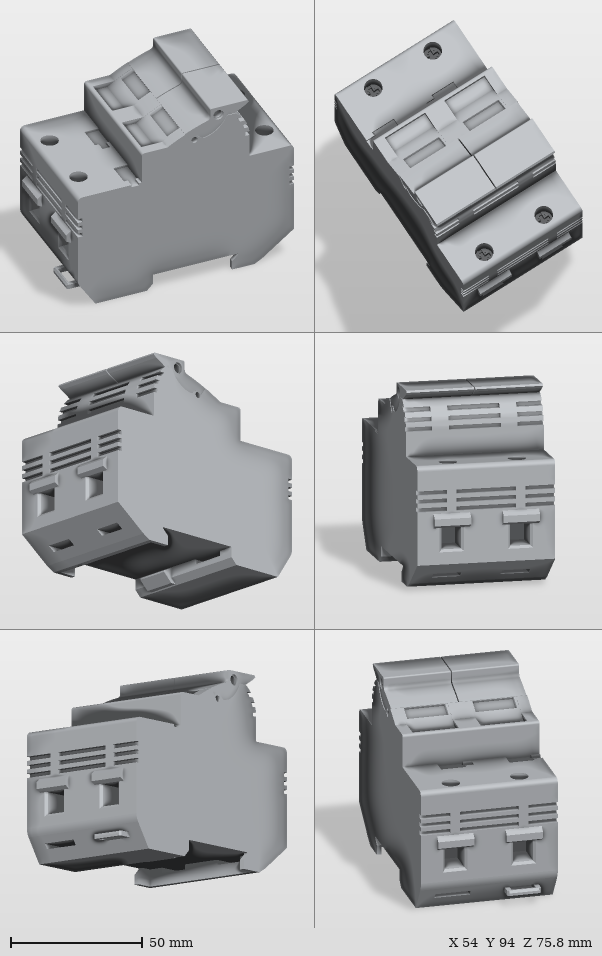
import cadquery as cq
import math

width = 54.0
height = 75.8
clip_reach = 47.0
housing_reach = 45.0
shoulder_z = 50.2
shoulder_radius = 2.0

pole_x = width / 4
pole_centres = [-pole_x, pole_x]

turret_front_y = -18.3
turret_back_y = 26.5
turret_z = 63.4
turret_edge_radius = 1.0
back_arc_radius = 13.2
back_arc_y = turret_back_y - back_arc_radius
back_arc_z = 60.2
slope_radius = 81.5
slope_y = 33.2
slope_z = -7.05

channel_z = 6.7
channel_front_wall_y = -13.7
front_foot_inner_y = -16.3
slot_bottom_z = 4.7
chamfer_top_front_z = 11.0
chamfer_top_back_z = 11.7
front_foot_y = -37.7
front_foot_radius = 5.6
hook_throat_y = 21.7
hook_throat_z = 6.2
hook_lip_y = 19.3
hook_lip_z = 3.8
back_foot_y = 28.7
back_bend_y, back_bend_z = 32.0, 1.9

grip_front_y = 10.3
grip_under_z = 71.25
grip_lip_y, grip_lip_z = 25.0, 73.9
grip_tip_y, grip_tip_z = 26.4, 75.0
grip_top_y = 25.85
grip_root_radius = 1.8
grip_edge_radius = 0.6
handle_end_y = -0.3
clearance = 0.9
handle_gap = 0.5
handle_inset = 0.3
sector_start = (17.1, grip_under_z)
sector_middle = (13.1, 66.0)
sector_end = (7.1, 63.5)
sector_notch = (4.5, 65.4)
pivot_y, pivot_z, pivot_diameter = 3.7, 63.6, 2.4
eye_y, eye_z = 13.7, 72.3
eye_diameter = 3.4
eye_rim_diameter = 4.2
eye_rim_depth = 0.9


def slope_height(y):
    """Height of the sloping front arc at a given Y."""
    return slope_z + math.sqrt(slope_radius**2 - (y - slope_y) ** 2)


def slope_reach(z):
    """Y at which the sloping front arc comes down to a given height."""
    return slope_y - math.sqrt(slope_radius**2 - (z - slope_z) ** 2)


def back_arc_point(angle):
    """Point (Y, Z) on the rounded upper back, angle in degrees above +Y."""
    a = math.radians(angle)
    return (back_arc_y + back_arc_radius * math.cos(a), back_arc_z + back_arc_radius * math.sin(a))


def slab(x_min, x_max):
    """YZ workplane placed so that extruding by x_max - x_min fills that X range."""
    return cq.Workplane("YZ", origin=(x_min, 0, 0)), x_max - x_min


def prism(points, x_min, x_max):
    """Closed YZ polygon extruded from x_min to x_max."""
    plane, length = slab(x_min, x_max)
    return plane.polyline(points).close().extrude(length)


def block(x_min, x_max, y_min, y_max, z_min, z_max):
    size = (x_max - x_min, y_max - y_min, z_max - z_min)
    return cq.Workplane("XY").box(*size, centered=False).translate((x_min, y_min, z_min))


def cross_hole(y, z, diameter, x_min, x_max):
    """Round cutter along X."""
    plane, length = slab(x_min, x_max)
    return plane.center(y, z).circle(diameter / 2).extrude(length)


def both_ends(front_shape):
    """The shape at the front end together with its mirror image at the back."""
    return front_shape.union(front_shape.mirror("XZ"))


def round_edge(body, y, z, radius):
    """Round the full-width edge that runs along X at (y, z)."""
    return body.edges(cq.selectors.NearestToPointSelector((0, y, z))).fillet(radius)


def housing():
    arc_end_angle = math.degrees(math.asin((grip_under_z - back_arc_z) / back_arc_radius))
    slope_foot_y = slope_reach(turret_z)
    slope_mid_y = (grip_front_y + slope_foot_y) / 2

    plane, length = slab(-width / 2, width / 2)
    body = (
        plane.moveTo(-housing_reach, shoulder_z)
        .lineTo(-housing_reach, chamfer_top_front_z)
        .lineTo(front_foot_y, 0)
        .lineTo(front_foot_inner_y, 0)
        .lineTo(channel_front_wall_y, channel_front_wall_y - front_foot_inner_y)
        .lineTo(channel_front_wall_y, channel_z)
        .lineTo(hook_throat_y, channel_z)
        .lineTo(hook_throat_y, hook_throat_z)
        .lineTo(hook_lip_y, hook_lip_z)
        .lineTo(hook_lip_y, 0)
        .lineTo(back_foot_y, 0)
        .lineTo(back_bend_y, back_bend_z)
        .lineTo(housing_reach, chamfer_top_back_z)
        .lineTo(housing_reach, shoulder_z)
        .lineTo(turret_back_y, shoulder_z)
        .lineTo(turret_back_y, back_arc_z)
        .threePointArc(back_arc_point(arc_end_angle / 2), back_arc_point(arc_end_angle))
        .lineTo(grip_lip_y, grip_lip_z)
        .lineTo(grip_tip_y, grip_tip_z)
        .lineTo(grip_top_y, height)
        .lineTo(grip_front_y, height)
        .lineTo(grip_front_y, slope_height(grip_front_y))
        .threePointArc((slope_mid_y, slope_height(slope_mid_y)), (slope_foot_y, turret_z))
        .lineTo(turret_front_y, turret_z)
        .lineTo(turret_front_y, shoulder_z)
        .close()
        .extrude(length)
    )
    for y in (-housing_reach, housing_reach):
        body = round_edge(body, y, shoulder_z, shoulder_radius)
    body = round_edge(body, -housing_reach, chamfer_top_front_z, front_foot_radius)
    body = round_edge(body, turret_front_y, turret_z, turret_edge_radius)
    body = round_edge(body, grip_front_y, slope_height(grip_front_y), grip_root_radius)
    return round_edge(body, grip_front_y, height, grip_edge_radius)


def handle_parting(x_min, x_max):
    above = height + clearance
    outer_y = turret_back_y + clearance
    plane, length = slab(x_min, x_max)
    return (
        plane.moveTo(outer_y, grip_under_z)
        .lineTo(*sector_start)
        .threePointArc(sector_middle, sector_end)
        .lineTo(*sector_notch)
        .lineTo(pivot_y, pivot_z)
        .lineTo(pivot_y - pivot_diameter / 2, pivot_z)
        .lineTo(handle_end_y, slope_height(handle_end_y))
        .lineTo(handle_end_y, above)
        .lineTo(outer_y, above)
        .close()
        .extrude(length)
    )


def handle_cuts():
    side = width / 2
    cuts = handle_parting(-side, -side + handle_inset)
    cuts = cuts.union(handle_parting(side - handle_inset, side))
    cuts = cuts.union(handle_parting(-handle_gap / 2, handle_gap / 2))
    cuts = cuts.union(cross_hole(pivot_y, pivot_z, pivot_diameter, -side, side))
    cuts = cuts.union(cross_hole(eye_y, eye_z, eye_diameter, -side, side))
    rim_depth = handle_inset + eye_rim_depth
    cuts = cuts.union(cross_hole(eye_y, eye_z, eye_rim_diameter, -side, -side + rim_depth))
    return cuts.union(cross_hole(eye_y, eye_z, eye_rim_diameter, side - rim_depth, side))


groove_rows = 3

vent_top_z = 40.6
vent_pitch = 3.3
vent_height = vent_pitch / 2
vent_rib_width = 3.8
vent_depth = 1.9

grip_groove_top_z = 68.6
grip_groove_pitch = 3.6
grip_groove_height = 1.7
grip_groove_rib_width = 6.6
grip_groove_depth = 1.7


def groove_slabs(rib_width, first_z, pitch, groove_height, y_min, y_max):
    """Full-width groove rows, counted downwards from first_z, with gaps at the pole ribs."""
    side = width / 2
    rows = cq.Workplane("XY")
    for row in range(groove_rows):
        top = first_z - row * pitch
        rows = rows.union(block(-side, side, y_min, y_max, top - groove_height, top))
    for x in pole_centres:
        rib_bottom = first_z - groove_rows * pitch
        rows = rows.cut(block(x - rib_width / 2, x + rib_width / 2, y_min, y_max, rib_bottom, first_z))
    return rows


def vents():
    front = groove_slabs(
        vent_rib_width,
        vent_top_z,
        vent_pitch,
        vent_height,
        -housing_reach,
        -housing_reach + vent_depth,
    )
    return both_ends(front)


def turret_grooves():
    """Grooves in the rounded back, with a floor that follows the arc."""
    rows = groove_slabs(
        grip_groove_rib_width,
        grip_groove_top_z,
        grip_groove_pitch,
        grip_groove_height,
        back_arc_y,
        turret_back_y,
    )
    core_diameter = 2 * (back_arc_radius - grip_groove_depth)
    return rows.cut(cross_hole(back_arc_y, back_arc_z, core_diameter, -width / 2, width / 2))


panel_width = 18.2
slope_sink = 0.1
panel_sink = 0.2
panel_slope_end_y = -10.7
panel_front_y = -16.6
window_width = 16.45
window_floor_width = 15.5
window_setback = 0.2
window_top_y = handle_end_y - window_setback
window_bottom_y = -5.5
window_depth = 1.2


def below_slope(x_min, x_max, end_y, front_y, sink):
    """Everything above the slope once it is lowered by sink, then level from end_y to front_y."""
    middle_y = (handle_end_y + end_y) / 2
    plane, length = slab(x_min, x_max)
    return (
        plane.moveTo(handle_end_y, slope_height(handle_end_y) - sink)
        .threePointArc((middle_y, slope_height(middle_y) - sink), (end_y, slope_height(end_y) - sink))
        .lineTo(front_y, slope_height(end_y) - sink)
        .lineTo(front_y, height)
        .lineTo(handle_end_y, height)
        .close()
        .extrude(length)
    )


def lowered_slope():
    """Small step down across the whole width where the handles end."""
    foot_y = slope_reach(turret_z + slope_sink)
    return below_slope(-width / 2, width / 2, foot_y, turret_front_y, slope_sink)


def front_panel(x):
    half_width = panel_width / 2
    panel = below_slope(x - half_width, x + half_width, panel_slope_end_y, panel_front_y, panel_sink)

    middle_y = (window_top_y + window_bottom_y) / 2
    middle_z = slope_height(middle_y)
    tilt = math.atan2(slope_y - middle_y, middle_z - slope_z)
    window_length = (window_top_y - window_bottom_y) / math.cos(tilt)
    face = cq.Plane(
        origin=(x, middle_y, middle_z), xDir=(1, 0, 0), normal=(0, -math.sin(tilt), math.cos(tilt))
    )
    window = (
        cq.Workplane(face)
        .rect(window_width, window_length)
        .workplane(offset=-window_depth)
        .rect(window_floor_width, window_length)
        .loft()
    )
    return panel.union(window)


recess_offset = 0.1
recess_length = 9.3
recess_front_y = -24.25
recess_depth = 0.9
channel_back_y = -19.55
channel_front_y = -22.7
notch_width = 0.6
notch_depth = 1.4


def indicator(x):
    recess_start = x + recess_offset
    recess_end = recess_start + recess_length
    notch_end = recess_end + notch_width
    top = shoulder_z
    floor = top - recess_depth
    notch_floor = top - notch_depth
    recess = block(recess_start, recess_end, recess_front_y, turret_front_y, floor, top)
    channel = block(recess_end, x + pole_x, channel_front_y, channel_back_y, floor, top)
    front_notch = block(recess_end, notch_end, recess_front_y, channel_front_y, notch_floor, top)
    back_notch = block(recess_end, notch_end, channel_back_y, turret_front_y, notch_floor, top)
    return recess.union(channel).union(front_notch).union(back_notch)


well_y = -38.7
well_diameter = 7.05
well_depth = 7.5
screw_slot_width = 1.4
screw_slot_depth = 1.1
screw_cross_width = 1.4
screw_cross_length = 5.3
screw_cross_depth = 2.3
screw_star_width = 0.6
screw_star_length = 4.5
screw_star_depth = 0.6

entry_width = 9.7
entry_bottom_z = 16.45
entry_top_z = 25.9
entry_depth = 11.3
entry_bevel = 0.9

clip_width = 14.3
clip_root_bottom_z = entry_top_z
clip_tip_bottom_z = 27.1
clip_tip_top_z = 29.8
clip_root_top_z = 31.5


def crossed_bars(face, bar_width, bar_length, depth):
    """Two equal bars crossing at right angles, sunk below the face."""
    bar = face.rect(bar_width, bar_length).extrude(-depth)
    return bar.union(face.rect(bar_length, bar_width).extrude(-depth))


def screw_well(x):
    """Round well with a slotted and crossed screw head at its bottom."""
    head = cq.Workplane("XY", origin=(x, well_y, shoulder_z - well_depth))
    well = head.circle(well_diameter / 2).extrude(well_depth)
    rim = head.circle(well_diameter / 2).extrude(-screw_slot_depth)
    slot = head.rect(screw_slot_width, well_diameter).extrude(-screw_slot_depth).intersect(rim)
    cross = crossed_bars(head, screw_cross_width, screw_cross_length, screw_cross_depth)
    diagonal_head = head.transformed(rotate=(0, 0, 45))
    star = crossed_bars(diagonal_head, screw_star_width, screw_star_length, screw_star_depth)
    return well.union(slot).union(cross).union(star)


def wire_entry(x):
    """Rectangular pocket whose mouth is bevelled at both sides and below."""
    entry_height = entry_top_z - entry_bottom_z
    bore_width = entry_width - 2 * entry_bevel
    bore_height = entry_height - entry_bevel
    mouth = cq.Workplane("XZ", origin=(x, -housing_reach, entry_top_z))
    lead_in = (
        mouth.center(0, -entry_height / 2)
        .rect(entry_width, entry_height)
        .workplane(offset=-entry_bevel)
        .center(0, entry_bevel / 2)
        .rect(bore_width, bore_height)
        .loft()
    )
    bore = mouth.center(0, -bore_height / 2).rect(bore_width, bore_height).extrude(-entry_depth)
    return lead_in.union(bore)


def clip(x):
    return prism(
        [
            (-housing_reach, clip_root_bottom_z),
            (-clip_reach, clip_tip_bottom_z),
            (-clip_reach, clip_tip_top_z),
            (-housing_reach, clip_root_top_z),
        ],
        x - clip_width / 2,
        x + clip_width / 2,
    )


foot_wall = 1.9
relief_back_y = 26.3


def back_foot_relief():
    inner = width / 2 - foot_wall
    return block(-inner, inner, hook_lip_y, relief_back_y, 0, channel_z)


slot_width = 14.1
back_slot_width = 11.3
latch_x = pole_x
latch_width = 13.35
latch_end_y = -46.4
latch_bar = 1.9
latch_end_bar = 1.3
latch_bevel_depth = 0.7
latch_bevel_height = 0.9
latch_chamfer = 0.7
latch_window_length = 6.6
hook_tip_y = -10.0
hook_top_z = 6.5
hook_tip_top_z = 4.7
hook_tip_bottom_z = 4.0
hook_bottom_z = 0.4


def latch_slot(x):
    """Slot through the front foot, narrower through the back foot."""
    front = block(
        x - slot_width / 2, x + slot_width / 2, -housing_reach, 0, slot_bottom_z, channel_z
    )
    back = block(
        x - back_slot_width / 2, x + back_slot_width / 2, 0, housing_reach, slot_bottom_z, channel_z
    )
    return front.union(back)


def latch():
    """Slider with a loop-shaped pull at the front and a hook under the rail."""
    x_min = latch_x - latch_width / 2
    x_max = latch_x + latch_width / 2
    slider = block(x_min, x_max, latch_end_y, channel_front_wall_y, slot_bottom_z, channel_z)
    slider = slider.edges("|Z and <Y").chamfer(latch_chamfer)
    window_front_y = latch_end_y + latch_end_bar
    window = block(
        x_min + latch_bar,
        x_max - latch_bar,
        window_front_y,
        window_front_y + latch_window_length,
        slot_bottom_z,
        channel_z,
    )
    hook = prism(
        [
            (channel_front_wall_y, hook_top_z),
            (hook_tip_y, hook_tip_top_z),
            (hook_tip_y, hook_tip_bottom_z),
            (channel_front_wall_y, hook_bottom_z),
            (front_foot_inner_y, hook_bottom_z),
            (front_foot_inner_y, hook_top_z),
        ],
        x_min,
        x_max,
    )
    bevel = prism(
        [
            (latch_end_y, channel_z),
            (latch_end_y, channel_z - latch_bevel_height),
            (latch_end_y + latch_bevel_depth, channel_z),
        ],
        x_min + latch_chamfer,
        x_max - latch_chamfer,
    )
    return slider.cut(window).cut(bevel).union(hook)


result = housing().cut(handle_cuts()).cut(vents()).cut(turret_grooves())
result = result.cut(lowered_slope()).cut(back_foot_relief())
for centre in pole_centres:
    result = result.cut(front_panel(centre)).cut(indicator(centre)).cut(latch_slot(centre))
    result = result.cut(both_ends(screw_well(centre).union(wire_entry(centre))))
    result = result.union(both_ends(clip(centre)))
result = result.union(latch())